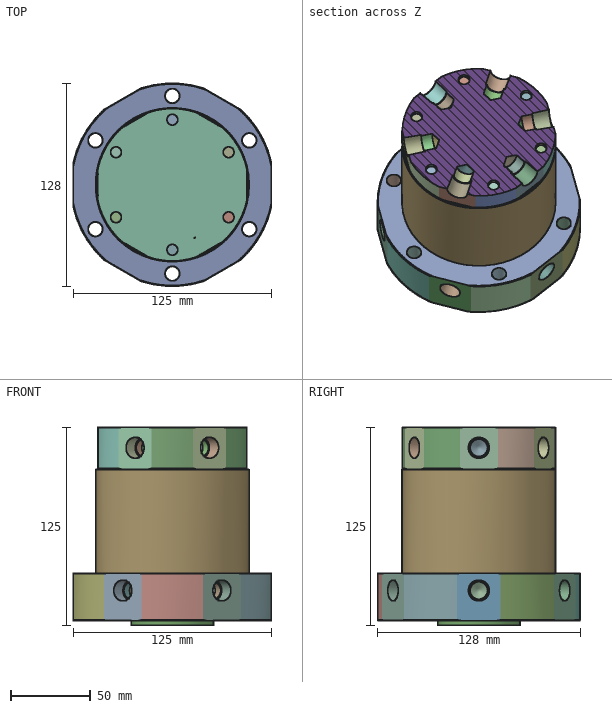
import cadquery as cq
import math

pilot_height = 3.0
flange_height = 30.0
barrel_height = 65.5
cap_height = 26.5
flange_base_z = pilot_height
barrel_base_z = flange_base_z + flange_height
cap_base_z = barrel_base_z + barrel_height
cap_top_z = cap_base_z + cap_height

pilot_diameter = 52.0
flange_diameter = 128.0
barrel_diameter = 97.0
cap_diameter = barrel_diameter

flat_count = 6
flat_depth = 1.5
edge_chamfer = 0.5

port_diameter = 13.157
port_depth = 11.0
port_taper = 1 / 16
drill_diameter = 11.0
drill_depth = 18.0
drill_point_angle = 118.0
flange_port_z = flange_base_z + 19.0
cap_port_z = cap_top_z - 13.0

hole_count = flat_count
hole_start_angle = 180.0 / flat_count
flange_hole_diameter = 9.0
flange_hole_circle = 112.0
cap_hole_diameter = 6.8
cap_hole_circle = 82.0
cap_hole_depth = 15.0


def cylinder(diameter, base_z, height):
    return cq.Workplane("XY").workplane(offset=base_z).circle(diameter / 2).extrude(height)


def flatted_disc(diameter, base_z, height):
    """Disc with chamfered rims, trimmed by a hexagon that leaves six flats."""
    disc = cylinder(diameter, base_z, height).edges().chamfer(edge_chamfer)
    across_flats = diameter - 2 * flat_depth
    across_corners = across_flats / math.cos(math.pi / flat_count)
    hexagon = (
        cq.Workplane("XY")
        .workplane(offset=base_z)
        .transformed(rotate=(0, 0, hole_start_angle))
        .polygon(flat_count, across_corners)
        .extrude(height)
    )
    return disc.intersect(hexagon)


def port_cutter(disc_diameter, port_z):
    """Tapered bore and pointed pilot drilling, entering along X from the flat."""
    face_x = disc_diameter / 2 - flat_depth
    mouth_radius = port_diameter / 2
    inner_radius = mouth_radius - port_depth * port_taper / 2
    drill_radius = drill_diameter / 2
    point_length = drill_radius / math.tan(math.radians(drill_point_angle / 2))
    profile = [
        (face_x, 0),
        (face_x, mouth_radius),
        (face_x - port_depth, inner_radius),
        (face_x - port_depth, drill_radius),
        (face_x - drill_depth, drill_radius),
        (face_x - drill_depth - point_length, 0),
    ]
    bore = cq.Workplane("XZ").polyline(profile).close().revolve(360, (0, 0), (1, 0))
    return bore.translate((0, 0, port_z))


def cut_ports(body, disc_diameter, port_z):
    cutter = port_cutter(disc_diameter, port_z)
    for index in range(flat_count):
        angle = index * 360 / flat_count
        body = body.cut(cutter.rotate((0, 0, 0), (0, 0, 1), angle))
    return body


def cut_screw_holes(body, circle_diameter, hole_diameter, base_z, depth):
    holes = (
        cq.Workplane("XY")
        .workplane(offset=base_z)
        .polarArray(circle_diameter / 2, hole_start_angle, 360, hole_count)
        .circle(hole_diameter / 2)
        .extrude(depth)
    )
    return body.cut(holes)


def make_housing():
    """Pilot, flange and barrel in one piece."""
    pilot = cylinder(pilot_diameter, 0, pilot_height)
    flange = flatted_disc(flange_diameter, flange_base_z, flange_height)
    barrel = cylinder(barrel_diameter, barrel_base_z, barrel_height)
    barrel = barrel.faces(">Z").edges().chamfer(edge_chamfer)
    body = flange.union(pilot).union(barrel)
    body = cut_ports(body, flange_diameter, flange_port_z)
    return cut_screw_holes(
        body, flange_hole_circle, flange_hole_diameter, flange_base_z, flange_height
    )


def make_cap():
    """Disc that closes the top of the barrel, with blind screw holes in its top."""
    body = flatted_disc(cap_diameter, cap_base_z, cap_height)
    body = cut_ports(body, cap_diameter, cap_port_z)
    hole_base_z = cap_top_z - cap_hole_depth
    return cut_screw_holes(body, cap_hole_circle, cap_hole_diameter, hole_base_z, cap_hole_depth)


housing = make_housing()
cap = make_cap()

result = cq.Compound.makeCompound([housing.val(), cap.val()])